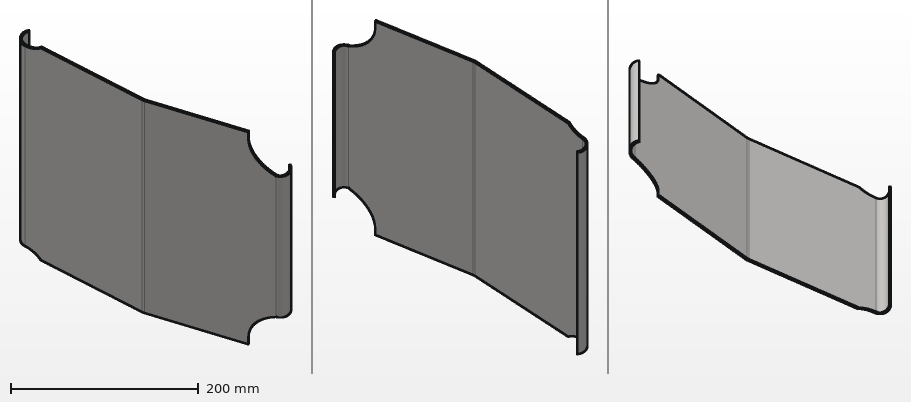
import cadquery as cq
import math

WIDTH = 320.59
HEIGHT = 357.0
THICKNESS = 2.0

HOOK_RADIUS = 12.0
HOOK_SWEEP = 135.0

BEND_ANGLE = 12.225
BEND_RADIUS = 14.0
BEND_VERTEX_X = 157.0

LEFT_NOTCH_DEPTH = 10.0
LEFT_NOTCH_RADIUS = 24.0
RIGHT_NOTCH_DEPTH = 60.0
RIGHT_NOTCH_WIDTH = 32.0
RIGHT_NOTCH_RADIUS = 55.0

CUT_MARGIN = 5.0

TILT = math.radians(BEND_ANGLE)
LEFT_HOOK_X = HOOK_RADIUS
LEFT_HOOK_Y = (BEND_VERTEX_X - LEFT_HOOK_X) * math.tan(TILT) + HOOK_RADIUS / math.cos(TILT)
RIGHT_HOOK_X = WIDTH - HOOK_RADIUS
BEND_X = BEND_VERTEX_X + BEND_RADIUS * math.tan(TILT / 2)

LEFT_TANGENT_X = LEFT_HOOK_X - HOOK_RADIUS * math.sin(TILT)

TOP_Z = HEIGHT / 2


def polar(center_x, center_y, radius, degrees):
    """Point at a radius and direction from a centre."""
    angle = math.radians(degrees)
    return (center_x + radius * math.cos(angle), center_y + radius * math.sin(angle))


def arc_points(arc, inset):
    """Start, middle and end of an arc (x, y, outside radius, start, end) moved inward by inset."""
    x, y, radius, start, end = arc
    return [polar(x, y, radius - inset, angle) for angle in (start, (start + end) / 2, end)]


def make_panel():
    """Bent sheet of constant thickness with a hook along each side edge."""
    flat_normal = 270.0
    tilted_normal = flat_normal - BEND_ANGLE
    left_hook = (LEFT_HOOK_X, LEFT_HOOK_Y, HOOK_RADIUS, tilted_normal - HOOK_SWEEP, tilted_normal)
    bend = (BEND_X, BEND_RADIUS, BEND_RADIUS, tilted_normal, flat_normal)
    right_hook = (RIGHT_HOOK_X, HOOK_RADIUS, HOOK_RADIUS, flat_normal, flat_normal + HOOK_SWEEP)
    arcs = [left_hook, bend, right_hook]

    outside = [arc_points(arc, 0) for arc in arcs]
    inside = [arc_points(arc, THICKNESS)[::-1] for arc in reversed(arcs)]
    (first, middle, end), *other_arcs = outside + inside

    outline = cq.Workplane("XY").moveTo(*first).threePointArc(middle, end)
    for start, middle, end in other_arcs:
        outline = outline.lineTo(*start).threePointArc(middle, end)
    return outline.close().extrude(TOP_Z, both=True)


def make_left_notch():
    """Top left cut: level across the hook, then curving up to the top edge."""
    floor_z = TOP_Z - LEFT_NOTCH_DEPTH
    center_z = floor_z + LEFT_NOTCH_RADIUS
    sweep = math.degrees(math.acos(1 - LEFT_NOTCH_DEPTH / LEFT_NOTCH_RADIUS))
    middle = polar(LEFT_TANGENT_X, center_z, LEFT_NOTCH_RADIUS, 270 + sweep / 2)
    end = polar(LEFT_TANGENT_X, center_z, LEFT_NOTCH_RADIUS, 270 + sweep)
    return (
        cq.Workplane("XZ")
        .moveTo(-CUT_MARGIN, floor_z)
        .lineTo(LEFT_TANGENT_X, floor_z)
        .threePointArc(middle, end)
        .lineTo(end[0], TOP_Z + CUT_MARGIN)
        .lineTo(-CUT_MARGIN, TOP_Z + CUT_MARGIN)
        .close()
        .extrude(WIDTH, both=True)
    )


def make_right_notch():
    """Top right cut: straight down from the top edge, curving out to the hook, then level."""
    edge_x = RIGHT_HOOK_X - RIGHT_NOTCH_WIDTH
    floor_z = TOP_Z - RIGHT_NOTCH_DEPTH
    sweep = math.degrees(math.acos(1 - RIGHT_NOTCH_WIDTH / RIGHT_NOTCH_RADIUS))
    center_x = edge_x + RIGHT_NOTCH_RADIUS
    center_z = floor_z + RIGHT_NOTCH_RADIUS * math.sin(math.radians(sweep))
    middle = polar(center_x, center_z, RIGHT_NOTCH_RADIUS, 180 + sweep / 2)
    return (
        cq.Workplane("XZ")
        .moveTo(edge_x, TOP_Z + CUT_MARGIN)
        .lineTo(edge_x, center_z)
        .threePointArc(middle, (RIGHT_HOOK_X, floor_z))
        .lineTo(WIDTH + CUT_MARGIN, floor_z)
        .lineTo(WIDTH + CUT_MARGIN, TOP_Z + CUT_MARGIN)
        .close()
        .extrude(WIDTH, both=True)
    )


result = make_panel()
for notch in (make_left_notch(), make_right_notch()):
    result = result.cut(notch).cut(notch.mirror("XY"))